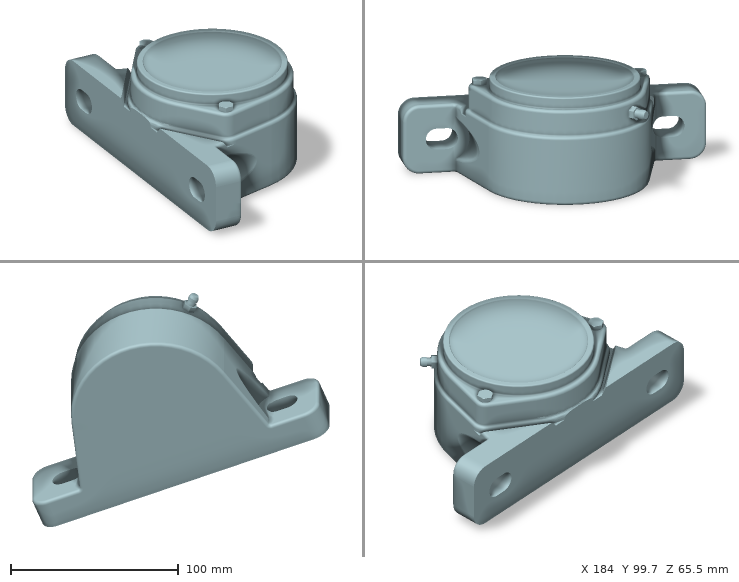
import cadquery as cq
import math

FOOT_LENGTH = 184.0
FOOT_DEPTH = 18.0
FOOT_HEIGHT = 42.5
FOOT_CORNER_RADIUS = 10.0
CENTRE_Y = 49.1
BODY_RADIUS = 50.6
FLANK_ANGLE = 15.0
EDGE_RADIUS = 2.0
FLANK_FOOT_RADIUS = 1.7

SLOT_SPACING = 137.6
SLOT_LENGTH = 19.3
SLOT_WIDTH = 13.0
RELIEF_RADIUS = 13.6
RELIEF_FLOOR = 18.5
RELIEF_EDGE_RADIUS = 1.8

LEDGE_WIDTH = 2.0
HEAD_RADIUS = BODY_RADIUS - LEDGE_WIDTH
HEAD_TOP = 58.3
HEAD_CORNER_RADIUS = 6.5
LOWER_ANGLE = 34.5
BLEND_RADIUS = 1.3
RIM_BAND = 3.7

GROOVE_FLOOR = 38.5
GROOVE_FLOOR_OFFSET = 51.9
GROOVE_FLARE = 2.0

COLLAR_RADIUS = 45.0
COLLAR_TOP = 65.5
COLLAR_ROUND = 1.0

PLATE_RADIUS = 41.0
PLATE_RECESS = 0.5
PLATE_THICKNESS = 3.7
PLATE_RIM_RADIUS = PLATE_RADIUS + PLATE_RECESS
PLATE_TOP = COLLAR_TOP - PLATE_RECESS

BOLT_FLATS = 8.5
BOLT_HEAD_TOP = 61.6
BOLT_WASHER_HEIGHT = 0.5
BOLT_BEVEL = 0.4
BOLT_SHANK_DIAMETER = 6.0
BOLT_SHANK_LENGTH = 11.0

NIPPLE_ANGLE = 135.0
NIPPLE_Z = 51.0
NIPPLE_FLATS = 7.4
NIPPLE_SHANK_DIAMETER = 5.5
NIPPLE_SHANK_START = 41.4
NIPPLE_HEX_START = 48.4
NIPPLE_HEX_END = 52.0
NIPPLE_RING_START = 54.8
NIPPLE_RING_END = 57.0
NIPPLE_TIP = 58.7
NIPPLE_NECK_DIAMETER = 5.0
NIPPLE_RING_DIAMETER = 6.0
NIPPLE_TIP_DIAMETER = 4.6

FLANK_NORMAL = (math.cos(math.radians(FLANK_ANGLE)), math.sin(math.radians(FLANK_ANGLE)))
LOWER_NORMAL = (math.sin(math.radians(LOWER_ANGLE)), -math.cos(math.radians(LOWER_ANGLE)))


def across_corners(flats):
    """Corner-to-corner size of a hexagon."""
    return flats / math.cos(math.radians(30))


def head_corner_centre():
    """Centre of the right-hand corner round, which touches the flank and the lower edge."""
    reach = HEAD_RADIUS - HEAD_CORNER_RADIUS
    (fx, fy), (lx, ly) = FLANK_NORMAL, LOWER_NORMAL
    determinant = fx * ly - fy * lx
    x = reach * (ly - fy) / determinant
    y = reach * (fx - lx) / determinant
    return x, CENTRE_Y + y


CORNER_X, CORNER_Y = head_corner_centre()


def beyond(centre, normal, distance):
    """Point at a distance from a centre along a normal."""
    return (centre[0] + normal[0] * distance, centre[1] + normal[1] * distance)


def mirrored(point):
    """Point on the other side of the YZ plane."""
    return (-point[0], point[1])


def head_core():
    """Middle of the head, reaching out to halfway across the flat of the rim."""
    inset = (RIM_BAND + EDGE_RADIUS) / 2
    axis = (0, CENTRE_Y)
    corner = (CORNER_X, CORNER_Y)
    radius = HEAD_RADIUS - inset
    corner_radius = HEAD_CORNER_RADIUS - inset
    flank_top = beyond(axis, FLANK_NORMAL, radius)
    flank_end = beyond(corner, FLANK_NORMAL, corner_radius)
    lower_start = beyond(corner, LOWER_NORMAL, corner_radius)
    lower_end = beyond(axis, LOWER_NORMAL, radius)
    corner_mid = beyond(corner, (1, 0), corner_radius)
    return (
        cq.Workplane("XY", origin=(0, 0, GROOVE_FLOOR))
        .moveTo(*mirrored(flank_top))
        .threePointArc((0, CENTRE_Y + radius), flank_top)
        .lineTo(*flank_end)
        .threePointArc(corner_mid, lower_start)
        .lineTo(*lower_end)
        .threePointArc((0, CENTRE_Y - radius), mirrored(lower_end))
        .lineTo(*mirrored(lower_start))
        .threePointArc(mirrored(corner_mid), mirrored(flank_end))
        .close()
        .extrude(HEAD_TOP - GROOVE_FLOOR)
    )


def foot_and_body():
    """Foot with flanks rising to the round body, all edges rounded except at the mounting face."""
    half = FOOT_LENGTH / 2
    flank_top = beyond((0, CENTRE_Y), FLANK_NORMAL, BODY_RADIUS)
    flank_foot_x = (BODY_RADIUS - (FOOT_DEPTH - CENTRE_Y) * FLANK_NORMAL[1]) / FLANK_NORMAL[0]
    flank_foot = (flank_foot_x, FOOT_DEPTH)
    solid = (
        cq.Workplane("XY")
        .moveTo(-half, 0)
        .lineTo(half, 0)
        .lineTo(half, FOOT_DEPTH)
        .lineTo(*flank_foot)
        .lineTo(*flank_top)
        .threePointArc((0, CENTRE_Y + BODY_RADIUS), mirrored(flank_top))
        .lineTo(*mirrored(flank_foot))
        .lineTo(-half, FOOT_DEPTH)
        .close()
        .extrude(FOOT_HEIGHT)
    )
    for side in (-1, 1):
        corner = cq.selectors.NearestToPointSelector((side * flank_foot_x, FOOT_DEPTH, FOOT_HEIGHT / 2))
        solid = solid.edges(corner).fillet(FLANK_FOOT_RADIUS)
    foot_ends = cq.selectors.BoxSelector((-half - 1.8, -1.8, -1.8), (-half + 1.8, FOOT_DEPTH + 1.8, FOOT_HEIGHT + 1.8))
    foot_ends += cq.selectors.BoxSelector((half - 1.8, -1.8, -1.8), (half + 1.8, FOOT_DEPTH + 1.8, FOOT_HEIGHT + 1.8))
    solid = solid.edges("|Y").edges(foot_ends).fillet(FOOT_CORNER_RADIUS)
    back_edge_x = (half + flank_foot_x) / 2
    back_edge = cq.selectors.NearestToPointSelector((back_edge_x, FOOT_DEPTH, FOOT_HEIGHT))
    solid = solid.edges(back_edge).fillet(EDGE_RADIUS)
    return solid


def mounting_slots():
    """Slots through the foot along Y."""
    return (
        cq.Workplane("XZ", origin=(0, 0, FOOT_HEIGHT / 2))
        .pushPoints([(-SLOT_SPACING / 2, 0), (SLOT_SPACING / 2, 0)])
        .slot2D(SLOT_LENGTH, SLOT_WIDTH)
        .extrude(-RELIEF_FLOOR)
    )


def flank_reliefs():
    """Cylinders that clear each flank above the inner end of its slot."""
    x = SLOT_SPACING / 2 - (SLOT_LENGTH - SLOT_WIDTH) / 2
    return (
        cq.Workplane("XZ", origin=(0, RELIEF_FLOOR, FOOT_HEIGHT / 2))
        .pushPoints([(-x, 0), (x, 0)])
        .circle(RELIEF_RADIUS)
        .extrude(-BODY_RADIUS)
    )


def round_relief_edges(body):
    """Rounds the elliptical edges where the reliefs leave the flat flanks."""
    return body.edges("%ELLIPSE").fillet(RELIEF_EDGE_RADIUS)


def groove_opening():
    """Everything above the groove floor on the inner side of the leaning groove walls."""
    def section(offset, z):
        slope = LOWER_NORMAL[0] / -LOWER_NORMAL[1]
        low_y = CENTRE_Y + offset / LOWER_NORMAL[1]
        side_y = low_y + FOOT_LENGTH / 2 * slope
        top_y = CENTRE_Y + 2 * BODY_RADIUS
        half = FOOT_LENGTH / 2
        points = [(0, low_y), (half, side_y), (half, top_y), (-half, top_y), (-half, side_y)]
        return cq.Wire.makePolygon([cq.Vector(x, y, z) for x, y in points], close=True)

    lower = section(GROOVE_FLOOR_OFFSET, GROOVE_FLOOR)
    upper = section(GROOVE_FLOOR_OFFSET + GROOVE_FLARE, FOOT_HEIGHT)
    return cq.Workplane(cq.Solid.makeLoft([lower, upper], True))


def polar(centre, angle, radius):
    """Point at an angle, in radians, and a radius from a centre."""
    return (centre[0] + radius * math.cos(angle), centre[1] + radius * math.sin(angle))


def rim_profile(workplane, wall):
    """Section of the head's rim, with the head wall at `wall` along the workplane's first axis."""
    ledge_centre = (wall, FOOT_HEIGHT - LEDGE_WIDTH)
    blend_rise = math.sqrt((LEDGE_WIDTH + BLEND_RADIUS) ** 2 - BLEND_RADIUS**2)
    blend_centre = (wall + BLEND_RADIUS, ledge_centre[1] + blend_rise)
    meet_angle = math.atan2(blend_rise, BLEND_RADIUS)
    top_centre = (wall - EDGE_RADIUS, HEAD_TOP - EDGE_RADIUS)
    return (
        workplane.moveTo(wall - RIM_BAND, GROOVE_FLOOR)
        .lineTo(wall + LEDGE_WIDTH, GROOVE_FLOOR)
        .lineTo(wall + LEDGE_WIDTH, ledge_centre[1])
        .threePointArc(
            polar(ledge_centre, meet_angle / 2, LEDGE_WIDTH),
            polar(ledge_centre, meet_angle, LEDGE_WIDTH),
        )
        .threePointArc(
            polar(blend_centre, math.pi + meet_angle / 2, BLEND_RADIUS),
            polar(blend_centre, math.pi, BLEND_RADIUS),
        )
        .lineTo(wall, top_centre[1])
        .threePointArc(polar(top_centre, math.pi / 4, EDGE_RADIUS), (wall - EDGE_RADIUS, HEAD_TOP))
        .lineTo(wall - RIM_BAND, HEAD_TOP)
        .close()
    )


def round_rim(centre, radius, start, end):
    """Rim round an arc of the outline, between two directions in degrees from +X."""
    section = rim_profile(cq.Workplane("XZ"), radius)
    arc = section.revolve(end - start, (0, 0, 0), (0, 1, 0))
    return arc.rotate((0, 0, 0), (0, 0, 1), start).translate((*centre, 0))


def straight_rim(start, end, direction):
    """Rim along a straight stretch of the outline that faces a direction in degrees from +X."""
    section = rim_profile(cq.Workplane("XZ"), 0)
    length = math.dist(start, end)
    return section.extrude(-length).rotate((0, 0, 0), (0, 0, 1), direction).translate((*start, 0))


def head():
    """Head with its rounded and blended rim, trimmed at the mounting face."""
    axis = (0, CENTRE_Y)
    corner = (CORNER_X, CORNER_Y)
    lower_direction = LOWER_ANGLE - 90
    flank_top = beyond(axis, FLANK_NORMAL, HEAD_RADIUS)
    flank_end = beyond(corner, FLANK_NORMAL, HEAD_CORNER_RADIUS)
    lower_start = beyond(corner, LOWER_NORMAL, HEAD_CORNER_RADIUS)
    lower_end = beyond(axis, LOWER_NORMAL, HEAD_RADIUS)
    solid = head_core()
    solid = solid.union(round_rim(axis, HEAD_RADIUS, FLANK_ANGLE, 180 - FLANK_ANGLE))
    solid = solid.union(round_rim(axis, HEAD_RADIUS, -180 - lower_direction, lower_direction))
    side_rims = [
        straight_rim(flank_end, flank_top, FLANK_ANGLE),
        round_rim(corner, HEAD_CORNER_RADIUS, lower_direction, FLANK_ANGLE),
        straight_rim(lower_end, lower_start, lower_direction),
    ]
    for rim in side_rims:
        solid = solid.union(rim).union(rim.mirror("YZ"))
    behind_face = cq.Workplane("XY").box(FOOT_LENGTH, FOOT_LENGTH, HEAD_TOP, centered=(True, False, False))
    return solid.intersect(behind_face)


def collar():
    """Round collar, flared into the head and rounded at the top."""
    arc = COLLAR_ROUND * math.sqrt(0.5)
    flare = COLLAR_RADIUS + COLLAR_ROUND
    return (
        cq.Workplane("XZ", origin=(0, CENTRE_Y, 0))
        .moveTo(0, HEAD_TOP)
        .lineTo(flare, HEAD_TOP)
        .threePointArc((flare - arc, HEAD_TOP + COLLAR_ROUND - arc), (COLLAR_RADIUS, HEAD_TOP + COLLAR_ROUND))
        .lineTo(COLLAR_RADIUS, COLLAR_TOP - COLLAR_ROUND)
        .threePointArc(
            (COLLAR_RADIUS - COLLAR_ROUND + arc, COLLAR_TOP - COLLAR_ROUND + arc),
            (COLLAR_RADIUS - COLLAR_ROUND, COLLAR_TOP),
        )
        .lineTo(0, COLLAR_TOP)
        .close()
        .revolve(360, (0, 0, 0), (0, 1, 0))
    )


def make_end_plate():
    """Flat disc set into the collar."""
    return (
        cq.Workplane("XY", origin=(0, CENTRE_Y, PLATE_TOP - PLATE_THICKNESS))
        .circle(PLATE_RADIUS)
        .extrude(PLATE_THICKNESS)
    )


def plate_bevel():
    """Bevelled mouth of the collar above the end plate."""
    return cq.Workplane(
        cq.Solid.makeCone(
            PLATE_RADIUS,
            PLATE_RIM_RADIUS,
            PLATE_RECESS,
            cq.Vector(0, CENTRE_Y, PLATE_TOP),
            cq.Vector(0, 0, 1),
        )
    )


def make_bolt(x):
    """Hexagon bolt with a washer face, its corners pointing along Y."""
    washer_top = HEAD_TOP + BOLT_WASHER_HEIGHT
    at_head = cq.Workplane("XY", origin=(x, CORNER_Y, HEAD_TOP))
    shank = at_head.circle(BOLT_SHANK_DIAMETER / 2).extrude(-BOLT_SHANK_LENGTH)
    washer = at_head.circle(BOLT_FLATS / 2).extrude(BOLT_WASHER_HEIGHT)
    hexagon = (
        cq.Workplane("XY", origin=(x, CORNER_Y, washer_top))
        .transformed(rotate=(0, 0, 90))
        .polygon(6, across_corners(BOLT_FLATS))
        .extrude(BOLT_HEAD_TOP - washer_top)
    )
    bevel_start = BOLT_HEAD_TOP - BOLT_BEVEL
    corner_radius = across_corners(BOLT_FLATS) / 2
    bevelled_top = (
        cq.Workplane("XZ", origin=(x, CORNER_Y, 0))
        .moveTo(0, HEAD_TOP)
        .lineTo(corner_radius, HEAD_TOP)
        .lineTo(corner_radius, bevel_start)
        .lineTo(BOLT_FLATS / 2, BOLT_HEAD_TOP)
        .lineTo(0, BOLT_HEAD_TOP)
        .close()
        .revolve(360, (0, 0, 0), (0, 1, 0))
    )
    return shank.union(washer).union(hexagon.intersect(bevelled_top))


def make_nipple():
    """Grease nipple, built along +X from the bearing axis and then swung into place."""
    stem = (
        cq.Workplane("XY")
        .moveTo(NIPPLE_SHANK_START, 0)
        .lineTo(NIPPLE_SHANK_START, NIPPLE_SHANK_DIAMETER / 2)
        .lineTo(NIPPLE_HEX_END, NIPPLE_SHANK_DIAMETER / 2)
        .lineTo(NIPPLE_RING_START, NIPPLE_NECK_DIAMETER / 2)
        .lineTo(NIPPLE_RING_START, NIPPLE_RING_DIAMETER / 2)
        .lineTo(NIPPLE_RING_END, NIPPLE_RING_DIAMETER / 2)
        .lineTo(NIPPLE_TIP, NIPPLE_TIP_DIAMETER / 2)
        .lineTo(NIPPLE_TIP, 0)
        .close()
        .revolve(360, (0, 0, 0), (1, 0, 0))
    )
    hexagon = (
        cq.Workplane("YZ", origin=(NIPPLE_HEX_START, 0, 0))
        .transformed(rotate=(0, 0, 90))
        .polygon(6, across_corners(NIPPLE_FLATS))
        .extrude(NIPPLE_HEX_END - NIPPLE_HEX_START)
    )
    nipple = stem.union(hexagon)
    return nipple.rotate((0, 0, 0), (0, 0, 1), NIPPLE_ANGLE).translate((0, CENTRE_Y, NIPPLE_Z))


def make_housing(fitted_bodies):
    """One casting, with a matching hole for every body fitted into it."""
    body = round_relief_edges(foot_and_body().cut(flank_reliefs()))
    body = body.cut(groove_opening()).union(head()).union(collar())
    body = body.cut(mounting_slots()).cut(plate_bevel())
    for fitted in fitted_bodies:
        body = body.cut(fitted)
    return body


end_plate = make_end_plate()
bolts = [make_bolt(x) for x in (-CORNER_X, CORNER_X)]
nipple = make_nipple()
housing = make_housing([end_plate, nipple, *bolts])

result = cq.Compound.makeCompound(
    [housing.val(), end_plate.val(), nipple.val(), *[bolt.val() for bolt in bolts]]
)